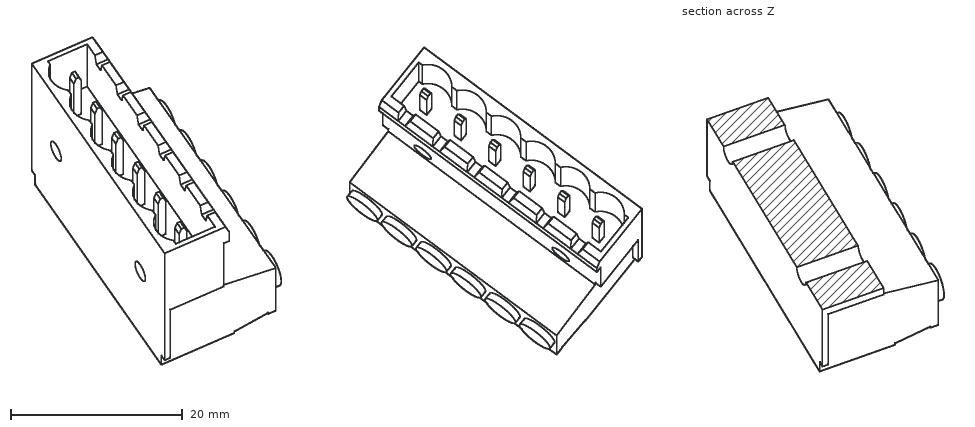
import cadquery as cq


pole_count = 6
pitch = 5.08
pole_positions = [(i - (pole_count - 1) / 2) * pitch for i in range(pole_count)]

total_height = 22.0
housing_width = 32.09
base_width = pole_count * pitch

base_depth = 15.27
base_top_front = 10.07
base_top_back = 8.9
foot_depth = 9.73
foot_step = 0.27
heel_start = 14.23
heel_height = 0.83
heel_groove_top = 1.03

housing_depth = 7.9
housing_bottom = 10.87
apron_thickness = 0.73
apron_bottom = 1.77

lip_back = 8.63
lip_bottom = 19.03
lip_bevel_bottom = 20.67
lip_bevel_front = 8.1

cavity_depth = 8.0
cavity_floor = total_height - cavity_depth
cavity_front = 1.83
cavity_back = 7.05
end_wall = 0.62
scallop_front = 0.8
scallop_width = 4.34

notch_top_width = 1.7
notch_bottom_width = 1.0
notch_floor = lip_bevel_bottom

pin_size = 1.0
pin_center_y = 4.0
pin_top = 21.1
pin_tip_depth = 0.42
pin_tip_height = 0.8

hole_diameter = 2.5
hole_height = 12.0
hole_offset = 2 * pitch
button_diameter = 4.5
button_height = 5.52
button_back = 16.15


def extrude_along_x(profile, width, center_x=0.0):
    """Extrude a closed (Y, Z) profile symmetrically about center_x."""
    start = center_x - width / 2
    return cq.Workplane("YZ", origin=(start, 0, 0)).polyline(profile).close().extrude(width)


def make_base():
    return extrude_along_x(
        [
            (0, 0),
            (foot_depth, 0),
            (foot_depth, foot_step),
            (heel_start, heel_groove_top),
            (heel_start, heel_height),
            (base_depth, heel_height),
            (base_depth, base_top_back),
            (housing_depth, base_top_front),
            (housing_depth, housing_bottom),
            (0, housing_bottom),
        ],
        base_width,
    )


def make_housing():
    return extrude_along_x(
        [
            (0, apron_bottom),
            (apron_thickness, apron_bottom),
            (apron_thickness, housing_bottom),
            (housing_depth, housing_bottom),
            (housing_depth, lip_bottom),
            (lip_back, lip_bottom),
            (lip_back, lip_bevel_bottom),
            (lip_bevel_front, total_height),
            (0, total_height),
        ],
        housing_width,
    )


def make_cavity():
    """Pocket with a straight back and ends, whose front edge bulges forward at each pole."""
    half_width = housing_width / 2 - end_wall
    outline = cq.Workplane("XY", origin=(0, 0, cavity_floor)).moveTo(-half_width, cavity_front)
    for center_x in pole_positions:
        outline = outline.lineTo(center_x - scallop_width / 2, cavity_front).threePointArc(
            (center_x, scallop_front),
            (center_x + scallop_width / 2, cavity_front),
        )
    return (
        outline.lineTo(half_width, cavity_front)
        .lineTo(half_width, cavity_back)
        .lineTo(-half_width, cavity_back)
        .close()
        .extrude(cavity_depth)
    )


def make_notch(center_x):
    """Tapered notch, wider at the top, running out through the latching lip."""
    return (
        cq.Workplane("XZ", origin=(center_x, lip_back, 0))
        .polyline(
            [
                (-notch_bottom_width / 2, notch_floor),
                (notch_bottom_width / 2, notch_floor),
                (notch_top_width / 2, total_height),
                (-notch_top_width / 2, total_height),
            ]
        )
        .close()
        .extrude(lip_back - pin_center_y)
    )


def make_pin(center_x):
    """Square pin standing on the cavity floor, with a tip beveled front and back."""
    front = pin_center_y - pin_size / 2
    back = pin_center_y + pin_size / 2
    tip_front = pin_center_y - pin_tip_depth / 2
    tip_back = pin_center_y + pin_tip_depth / 2
    shoulder = pin_top - pin_tip_height
    return extrude_along_x(
        [
            (front, cavity_floor),
            (back, cavity_floor),
            (back, shoulder),
            (tip_back, pin_top),
            (tip_front, pin_top),
            (front, shoulder),
        ],
        pin_size,
        center_x,
    )


def make_hole(center_x):
    """Round hole passing from the front face out of the back of the housing."""
    return (
        cq.Workplane("XZ", origin=(center_x, 0, hole_height))
        .circle(hole_diameter / 2)
        .extrude(-housing_depth)
    )


def make_button(center_x):
    return (
        cq.Workplane("XZ", origin=(center_x, base_depth, button_height))
        .circle(button_diameter / 2)
        .extrude(base_depth - button_back)
    )


result = make_base().union(make_housing()).cut(make_cavity())
for pole_x in pole_positions:
    result = result.cut(make_notch(pole_x))
for pole_x in pole_positions:
    result = result.union(make_pin(pole_x)).union(make_button(pole_x))
for hole_x in (-hole_offset, hole_offset):
    result = result.cut(make_hole(hole_x))